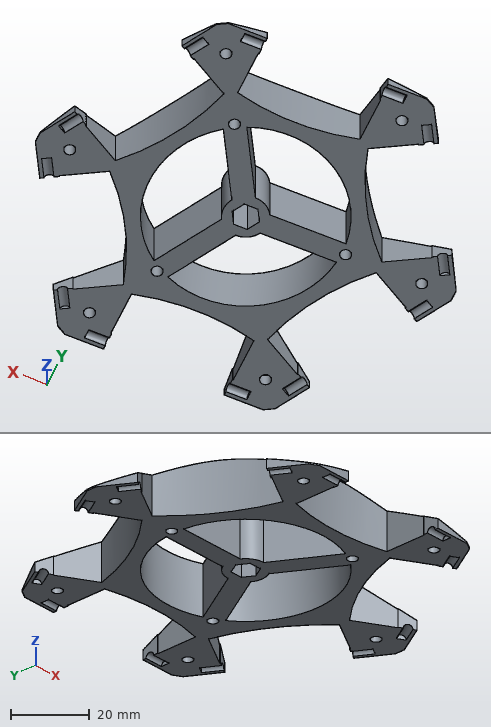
import cadquery as cq
import math

height = 15.5
outer_radius = 57.9
rim_height = 0.5
top_radius = 30.5
across_flats = 101.8
arm_count = 6
sector_angle = 360 / arm_count

pocket_floor = 30.8
pocket_corner = 33.0
pocket_half_width = 17.0
tip_step = 0.2
tip_step_start = 45.9

notch_radius = 1.3
notch_position = 48.5
notch_depth = 5.8

ring_inner_radius = 26.8
hub_radius = 6.1
hex_bore_flats = 6.6
spoke_width = 6.0
spoke_count = 3
first_spoke_angle = 60

hole_diameter = 3.0
ring_hole_radius = 27.8
arm_hole_radius = 49.0


def make_hexagon(flats):
    """Full-height hexagonal prism with corners on the X axis, sized across its flats."""
    across_corners = flats / math.cos(math.pi / 6)
    return cq.Workplane("XY").polygon(6, across_corners).extrude(height)


def make_blank():
    """Sloped round body trimmed to a hexagon with corners on the X axis."""
    profile = [
        (0, 0),
        (outer_radius, 0),
        (outer_radius, rim_height),
        (top_radius, height),
        (0, height),
    ]
    cone = cq.Workplane("XZ").polyline(profile).close().revolve(360, (0, 0, 0), (0, 1, 0))
    return cone.intersect(make_hexagon(across_flats))


def make_pocket():
    """Cutter for the gap centred on +Y, with the notches in both of its side walls."""
    narrow_half_width = pocket_half_width - tip_step
    gap = (
        cq.Workplane("XY")
        .moveTo(-pocket_half_width, pocket_corner)
        .threePointArc((0, pocket_floor), (pocket_half_width, pocket_corner))
        .lineTo(pocket_half_width, tip_step_start)
        .lineTo(narrow_half_width, tip_step_start)
        .lineTo(narrow_half_width, outer_radius)
        .lineTo(-narrow_half_width, outer_radius)
        .lineTo(-narrow_half_width, tip_step_start)
        .lineTo(-pocket_half_width, tip_step_start)
        .close()
        .extrude(height)
    )
    notches = (
        cq.Workplane("YZ")
        .center(notch_position, 0)
        .circle(notch_radius)
        .extrude(narrow_half_width + notch_depth, both=True)
    )
    return gap.union(notches)


def make_wheel_opening():
    """Material removed inside the ring, leaving the hub and the spokes."""
    opening = cq.Workplane("XY").circle(ring_inner_radius).extrude(height)
    opening = opening.cut(cq.Workplane("XY").circle(hub_radius).extrude(height))
    for i in range(spoke_count):
        spoke = cq.Workplane("XY").rect(top_radius, spoke_width).extrude(height)
        spoke = spoke.translate((top_radius / 2, 0, 0))
        angle = first_spoke_angle + i * 360 / spoke_count
        opening = opening.cut(spoke.rotate((0, 0, 0), (0, 0, 1), angle))
    return opening


def make_holes(radius, start_angle, count):
    """Vertical through holes spread evenly on a circle."""
    return (
        cq.Workplane("XY")
        .polarArray(radius, start_angle, 360, count)
        .circle(hole_diameter / 2)
        .extrude(height)
    )


body = make_blank()
pocket = make_pocket()
for i in range(arm_count):
    pocket_turn = i * sector_angle
    body = body.cut(pocket.rotate((0, 0, 0), (0, 0, 1), pocket_turn))

result = (
    body.cut(make_wheel_opening())
    .cut(make_hexagon(hex_bore_flats))
    .cut(make_holes(ring_hole_radius, first_spoke_angle, spoke_count))
    .cut(make_holes(arm_hole_radius, 0, arm_count))
)